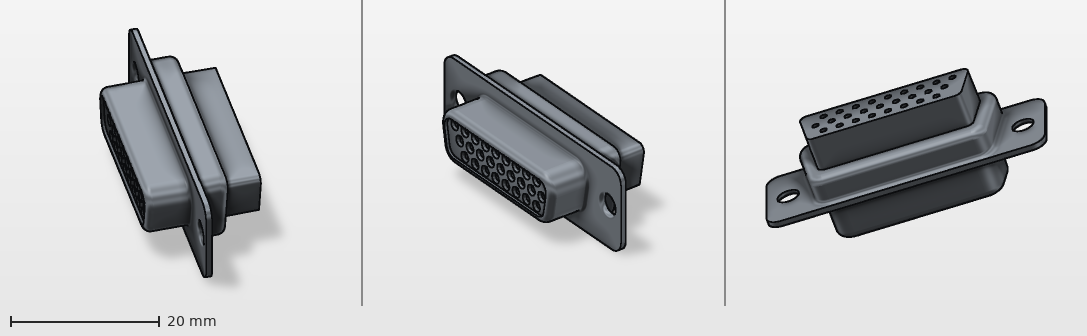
import cadquery as cq
import math


flange_width = 39.52
flange_height = 12.92
flange_thickness = 0.83
flange_corner_radius = 2.0
mount_hole_spacing = 33.3
mount_hole_diameter = 3.05
mount_hole_lip_radius = 0.5

side_slant = math.radians(10)

front_width = 24.8
front_height = 8.02
front_length = 6.3
front_corner_radius = 2.6
front_tip_radius = 1.05
front_root_radius = 0.47

rear_width = 27.9
rear_height = 11.45
rear_length = 4.05
rear_corner_radius = 2.0
rear_rim_radius = 1.15
rear_root_radius = 0.7

block_width = 23.95
block_height = 7.1
block_length = 4.9
block_corner_radius = 1.03
block_draft_degrees = 0.5

insert_recess_depth = 0.47

contact_row_span = 18.3
row_pitch = 1.98
contact_hole_diameter = 0.9
contact_entry_diameter = 1.6
contact_entry_depth = 0.4
contacts_in_full_row = 9
contacts_in_bottom_row = 8
contact_pitch = contact_row_span / (contacts_in_full_row - 1)

selection_margin = 0.05

flange_back = flange_thickness
rear_shell_back = flange_back + rear_length
block_back = rear_shell_back + block_length
insert_face = insert_recess_depth - front_length


def d_prism(width, height, corner_radius, y_start, length, draft_degrees=0):
    """Rounded D outline, widest near the top, extruded toward +Y from y_start."""
    corner_x = width / 2 - corner_radius
    corner_z = height / 2 - corner_radius
    side_x_at_center = (
        corner_x - corner_z * math.tan(side_slant) + corner_radius / math.cos(side_slant)
    )
    side_shift = height / 2 * math.tan(side_slant)
    top_x = side_x_at_center + side_shift
    bottom_x = side_x_at_center - side_shift
    corners = [
        (-top_x, height / 2),
        (top_x, height / 2),
        (bottom_x, -height / 2),
        (-bottom_x, -height / 2),
    ]
    return (
        cq.Workplane("XZ", origin=(0, y_start, 0))
        .polyline(corners)
        .close()
        .extrude(-length, taper=draft_degrees)
        .edges("not (<Y or >Y)")
        .fillet(corner_radius)
    )


def root_edges(y, width, height):
    """Selector for the edges around a D body where it meets the flange at y."""
    return cq.selectors.BoxSelector(
        (-width / 2 - selection_margin, y - selection_margin, -height / 2 - selection_margin),
        (width / 2 + selection_margin, y + selection_margin, height / 2 + selection_margin),
    )


def make_flange():
    plate = (
        cq.Workplane("XZ")
        .rect(flange_width, flange_height)
        .extrude(-flange_thickness)
        .edges("|Y")
        .fillet(flange_corner_radius)
    )
    holes = (
        cq.Workplane("XZ")
        .pushPoints([(-mount_hole_spacing / 2, 0), (mount_hole_spacing / 2, 0)])
        .circle(mount_hole_diameter / 2)
        .extrude(-flange_thickness)
    )
    hole_rims = cq.selectors.RadiusNthSelector(0)
    return plate.cut(holes).faces("<Y").edges("%CIRCLE").edges(hole_rims).fillet(mount_hole_lip_radius)


def make_front_shell():
    shell = d_prism(front_width, front_height, front_corner_radius, -front_length, front_length)
    shell = shell.faces("<Y").edges().fillet(front_tip_radius)
    recess = d_prism(
        front_width - 2 * front_tip_radius,
        front_height - 2 * front_tip_radius,
        front_corner_radius - front_tip_radius,
        -front_length,
        insert_recess_depth,
    )
    return shell.cut(recess)


def make_rear_shell():
    shell = d_prism(rear_width, rear_height, rear_corner_radius, flange_back, rear_length)
    return shell.faces(">Y").edges().fillet(rear_rim_radius)


def contact_positions():
    """(x, z) of every contact; the middle row is shifted by half a pitch."""
    right_end = contact_row_span / 2
    stagger = contact_pitch / 4
    rows = [
        (row_pitch, -stagger, contacts_in_full_row),
        (0, stagger, contacts_in_full_row),
        (-row_pitch, -stagger, contacts_in_bottom_row),
    ]
    return [
        (right_end + shift - i * contact_pitch, z)
        for z, shift, count in rows
        for i in range(count)
    ]


def make_contact_holes():
    entry_radius = contact_entry_diameter / 2
    bore_radius = contact_hole_diameter / 2
    funnel_and_bore = (
        cq.Workplane("YZ")
        .moveTo(insert_face, 0)
        .lineTo(insert_face, -entry_radius)
        .lineTo(insert_face + contact_entry_depth, -bore_radius)
        .lineTo(block_back, -bore_radius)
        .lineTo(block_back, 0)
        .close()
        .revolve(360, (0, 0, 0), (1, 0, 0))
        .val()
    )
    holes = [funnel_and_bore.moved(cq.Location(cq.Vector(x, 0, z))) for x, z in contact_positions()]
    return cq.Compound.makeCompound(holes)


block = d_prism(
    block_width,
    block_height,
    block_corner_radius,
    rear_shell_back,
    block_length,
    block_draft_degrees,
)

body = make_flange().union(make_front_shell()).union(make_rear_shell())
body = body.edges(root_edges(0, front_width, front_height)).fillet(front_root_radius)
body = body.edges(root_edges(flange_back, rear_width, rear_height)).fillet(rear_root_radius)

result = body.union(block).cut(cq.Workplane(make_contact_holes()))